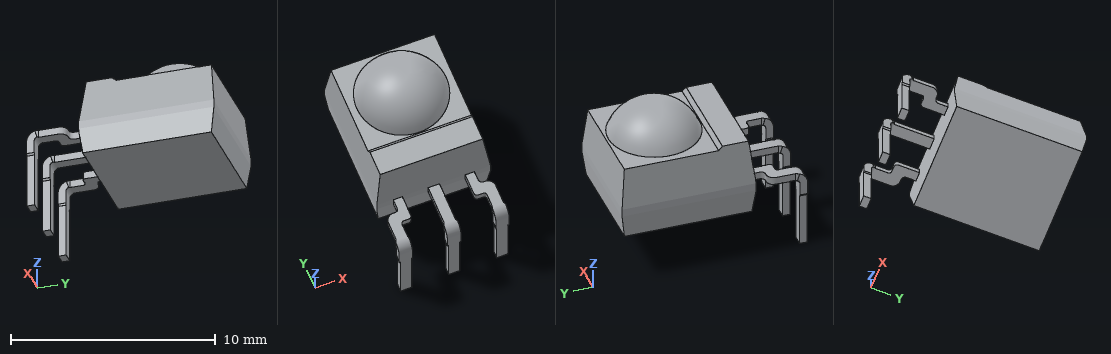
import cadquery as cq
import math

overall_length = 9.65
housing_width = 6.0
housing_length = 6.95
band_bottom = 1.3
lead_thickness = 0.41
band_top = band_bottom + lead_thickness
ridge_top = 4.1
step_depth = 0.2
lens_face = ridge_top - step_depth
ridge_length = 1.65

lower_side_inset = 0.14
lower_end_inset = 0.17
upper_inset = 0.3
upper_back_inset = 0.23

lens_radius = 2.5
lens_top = 5.56
lens_y = 0.78

lead_pitch = 2.53
lead_width = 0.6
lead_bottom = -2.49
bend_inner_radius = 0.2
bend_angle = 90.0
bend_outer_radius = bend_inner_radius + lead_thickness
flare_angle = 17.0
wide_flare = 0.07
narrow_flare = 0.04
shoulder_drop = 1.26
shoulder_top = band_top - shoulder_drop
shoulder_height = 0.11

neck_inner = 1.65
neck_width = 0.48
jog_start = 0.69
jog_width = 0.59
jog_outer_radius = 0.4
jog_neck_radius = 0.2
jog_heel_radius = 0.17
jog_inner_radius = 0.135

front_face = -housing_length / 2
lead_front = housing_length / 2 - overall_length
bend_start = lead_front + bend_outer_radius
bend_axis_z = band_bottom - bend_inner_radius


def level_rectangle(z, side_inset, front_inset, back_inset):
    """Housing outline at height z, drawn in from the band by the given insets."""
    half_width = housing_width / 2 - side_inset
    front = front_face + front_inset
    back = housing_length / 2 - back_inset
    corners = [(-half_width, front), (half_width, front), (half_width, back), (-half_width, back)]
    return cq.Wire.makePolygon([cq.Vector(x, y, z) for x, y in corners], close=True)


def make_housing():
    """Drafted body with a raised front ridge and the lens moulded on in one piece."""
    underside = level_rectangle(0, lower_side_inset, lower_end_inset, lower_end_inset)
    band_low = level_rectangle(band_bottom, 0, 0, 0)
    band_high = level_rectangle(band_top, 0, 0, 0)
    top = level_rectangle(ridge_top, upper_inset, upper_inset, upper_back_inset)

    body = cq.Workplane(cq.Solid.makeLoft([underside, band_low], True))
    body = body.union(cq.Workplane(cq.Solid.makeLoft([band_low, band_high], True)))
    body = body.union(cq.Workplane(cq.Solid.makeLoft([band_high, top], True)))

    ramp_top = front_face + ridge_length
    step = (
        cq.Workplane("YZ")
        .moveTo(ramp_top, ridge_top)
        .lineTo(ramp_top + step_depth, lens_face)
        .lineTo(housing_length / 2, lens_face)
        .lineTo(housing_length / 2, ridge_top)
        .close()
        .extrude(housing_width / 2, both=True)
    )
    lens = cq.Workplane("XY").sphere(lens_radius).translate((0, lens_y, lens_top - lens_radius))
    lens_room = (
        cq.Workplane("XY", origin=(0, lens_y, lens_face))
        .rect(2 * lens_radius, 2 * lens_radius)
        .extrude(lens_top - lens_face)
    )
    return body.cut(step).union(lens.intersect(lens_room))


def bend_point(radius, angle):
    """(Y, Z) in the bend, with the angle in degrees from its level end."""
    turn = math.radians(angle)
    return bend_start - radius * math.sin(turn), bend_axis_z + radius * math.cos(turn)


def make_bend_sector(start_angle, end_angle, left, right):
    """Piece of the bend between two angles, from X = left to X = right."""
    middle_angle = (start_angle + end_angle) / 2
    return (
        cq.Workplane("YZ", origin=(left, 0, 0))
        .moveTo(*bend_point(bend_outer_radius, start_angle))
        .threePointArc(
            bend_point(bend_outer_radius, middle_angle), bend_point(bend_outer_radius, end_angle)
        )
        .lineTo(*bend_point(bend_inner_radius, end_angle))
        .threePointArc(
            bend_point(bend_inner_radius, middle_angle), bend_point(bend_inner_radius, start_angle)
        )
        .close()
        .extrude(right - left)
    )


def radial_rectangle(angle, left, right):
    """Rectangle in a radial plane of the bend, reaching past both of its curved faces."""
    inner = bend_point(bend_inner_radius / 2, angle)
    outer = bend_point(bend_outer_radius + lead_thickness, angle)
    corners = [(left, *inner), (right, *inner), (right, *outer), (left, *outer)]
    return cq.Wire.makePolygon([cq.Vector(*corner) for corner in corners], close=True)


def make_lower_lead(center_x, left_flare, right_flare):
    """Bend and downward leg of a lead, wider from the bend to the shoulder."""
    left = center_x - lead_width / 2
    right = center_x + lead_width / 2
    wide_left = left - left_flare
    wide_right = right + right_flare

    widening = cq.Solid.makeLoft(
        [radial_rectangle(0, left, right), radial_rectangle(flare_angle, wide_left, wide_right)], True
    )
    flare = make_bend_sector(0, flare_angle, wide_left, wide_right).intersect(cq.Workplane(widening))
    bend = make_bend_sector(flare_angle, bend_angle, wide_left, wide_right)
    shoulder_bottom = shoulder_top - shoulder_height
    leg = (
        cq.Workplane("XZ", origin=(0, lead_front, 0))
        .polyline([
            (wide_left, bend_axis_z),
            (wide_left, shoulder_top),
            (left, shoulder_bottom),
            (left, lead_bottom),
            (right, lead_bottom),
            (right, shoulder_bottom),
            (wide_right, shoulder_top),
            (wide_right, bend_axis_z),
        ])
        .close()
        .extrude(-lead_thickness)
    )
    return flare.union(bend).union(leg)


def make_middle_lead():
    """Straight lead on the centre plane."""
    level_part = (
        cq.Workplane("XY", origin=(0, 0, band_bottom))
        .moveTo(-lead_width / 2, bend_start)
        .lineTo(lead_width / 2, bend_start)
        .lineTo(lead_width / 2, front_face)
        .lineTo(-lead_width / 2, front_face)
        .close()
        .extrude(lead_thickness)
    )
    return level_part.union(make_lower_lead(0, wide_flare, wide_flare))


def make_outer_lead(side):
    """Lead at +X (side 1) or -X (side -1), jogged outwards just in front of the housing."""
    inner = lead_pitch - lead_width / 2
    outer = lead_pitch + lead_width / 2
    neck_outer = neck_inner + neck_width
    jog_back = front_face - jog_start
    jog_front = jog_back - jog_width
    level_part = (
        cq.Workplane("XY", origin=(0, 0, band_bottom))
        .polyline([
            (neck_inner, front_face),
            (neck_outer, front_face),
            (neck_outer, jog_back),
            (outer, jog_back),
            (outer, bend_start),
            (inner, bend_start),
            (inner, jog_front),
            (neck_inner, jog_front),
        ])
        .close()
        .extrude(lead_thickness)
    )
    corner_radii = [
        (neck_outer, jog_back, jog_neck_radius),
        (outer, jog_back, jog_outer_radius),
        (inner, jog_front, jog_inner_radius),
        (neck_inner, jog_front, jog_heel_radius),
    ]
    for x, y, radius in corner_radii:
        corner = cq.selectors.NearestToPointSelector((x, y, band_bottom + lead_thickness / 2))
        level_part = level_part.edges("|Z").edges(corner).fillet(radius)
    right_lead = level_part.union(make_lower_lead(lead_pitch, narrow_flare, wide_flare))
    return right_lead if side > 0 else right_lead.mirror("YZ")


housing = make_housing()
middle_lead = make_middle_lead()
outer_leads = [make_outer_lead(side) for side in (-1, 1)]

result = cq.Compound.makeCompound(
    [housing.val(), middle_lead.val(), *[lead.val() for lead in outer_leads]]
)